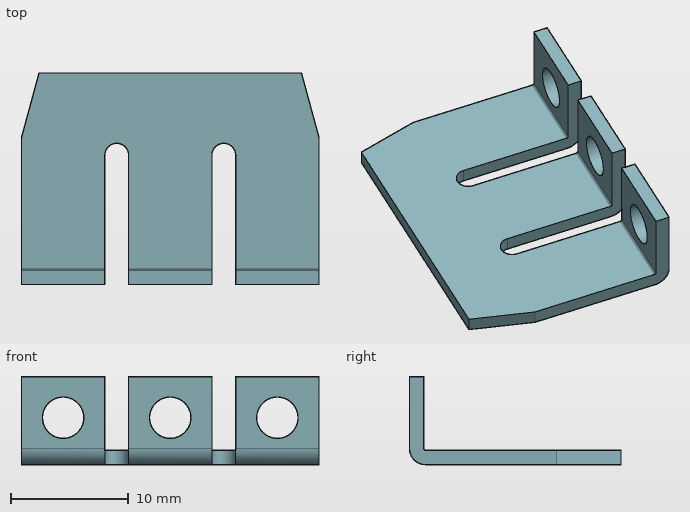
import cadquery as cq

width = 25.3
depth = 18.0
height = 7.5

thickness = 1.25
inner_radius = 0.13
outer_radius = thickness + inner_radius

tab_count = 3
slot_width = 2.0
slot_length = 12.0
tab_width = (width - (tab_count - 1) * slot_width) / tab_count
tab_pitch = tab_width + slot_width

hole_diameter = 3.5
hole_height = 4.0

taper_width = 1.5
taper_depth = 5.5


def centred_positions(count):
    """X positions of evenly pitched features, centred on the part."""
    return [(i - (count - 1) / 2) * tab_pitch for i in range(count)]


def bent_sheet():
    """L-shaped sheet with a rounded bend; front face at Y = 0, underside at Z = 0."""
    profile = (
        cq.Workplane("YZ")
        .moveTo(depth, 0)
        .lineTo(outer_radius, 0)
        .radiusArc((0, outer_radius), outer_radius)
        .lineTo(0, height)
        .lineTo(thickness, height)
        .lineTo(thickness, outer_radius)
        .radiusArc((outer_radius, thickness), -inner_radius)
        .lineTo(depth, thickness)
        .close()
    )
    return profile.extrude(width / 2, both=True)


def plan_outline():
    """Solid of the plan shape: a rectangle with both rear corners tapered."""
    half_width = width / 2
    taper_start = depth - taper_depth
    return (
        cq.Workplane("XY")
        .moveTo(-half_width, 0)
        .lineTo(half_width, 0)
        .lineTo(half_width, taper_start)
        .lineTo(half_width - taper_width, depth)
        .lineTo(-half_width + taper_width, depth)
        .lineTo(-half_width, taper_start)
        .close()
        .extrude(height)
    )


def slot_cutter(x):
    """Slot open at the front, with a semicircular inner end."""
    half_slot = slot_width / 2
    straight_end = slot_length - half_slot
    return (
        cq.Workplane("XY")
        .moveTo(x - half_slot, 0)
        .lineTo(x + half_slot, 0)
        .lineTo(x + half_slot, straight_end)
        .threePointArc((x, slot_length), (x - half_slot, straight_end))
        .close()
        .extrude(height)
    )


def hole_cutter(x):
    """Round hole through an upright tab."""
    return (
        cq.Workplane("XZ")
        .center(x, hole_height)
        .circle(hole_diameter / 2)
        .extrude(-thickness)
    )


result = bent_sheet().intersect(plan_outline())
for slot_x in centred_positions(tab_count - 1):
    result = result.cut(slot_cutter(slot_x))
for hole_x in centred_positions(tab_count):
    result = result.cut(hole_cutter(hole_x))